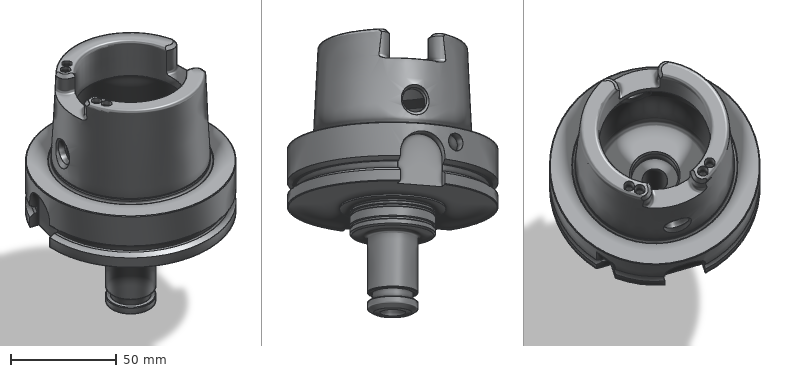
import cadquery as cq
import math


TOTAL_LENGTH = 130.5
TOP_Z = 50.0
TAPER_BASE_Z = 2.3
TAPER_BASE_R = 37.8
TAPER_SLOPE = 0.05
TOP_ROUND_R = 2.0
BASE_RELIEF_DEPTH = 0.3
BASE_RELIEF_Z = 1.6
BASE_RELIEF_END_Z = 0.8

FLANGE_R = 100.0 / 2
FLANGE_BOTTOM_Z = -29.0
FLANGE_CHAMFER = 0.4
FACE_RECESS_R = 39.0
FACE_RECESS_DEPTH = 0.4
FACE_RECESS_FILLET = 1.0
GRIP_GROOVE_Z = -20.0
GRIP_GROOVE_R = 46.0
GRIP_GROOVE_MOUTH = 6.8
GRIP_GROOVE_FLOOR = 3.5
GRIP_FLANK_DEPTH = 2.5

PAD_R = 25.3
PAD_BOTTOM_Z = -29.8
PILOT_R = 40.7 / 2
PILOT_BOTTOM_Z = -42.7
PILOT_CHAMFER = 0.8
PILOT_NECK_BOTTOM_Z = -30.9
PILOT_GROOVE_CENTERS = [-32.9, -38.9]
PILOT_GROOVE_WIDTH = 1.7
PILOT_GROOVE_DEPTH = 0.7
PILOT_GROOVE_FLANK = 0.4

STEM_R = 24.0 / 2
STEM_FILLET_R = 1.8
STEM_BOTTOM_Z = -71.0
STEM_CHAMFER = 0.4
STEM_NECK_R = 19.5 / 2
HEAD_TOP_Z = -75.3
HEAD_ROUND_TOP_Z = -78.3
HEAD_ROUND_R = 1.0
HEAD_CONE_ANGLE = 30
BOTTOM_Z = TOP_Z - TOTAL_LENGTH

BORE_R = 53.0 / 2
BORE_LIP_R = 2.0
CHAMBER_R = 63.0 / 2
CHAMBER_TOP_Z = 30.5
CHAMBER_BOTTOM_Z = 9.7
WELL_R = 27.9
WELL_FLOOR_Z = -13.5
WELL_FILLET_R = 3.0
CHAMBER_TOP_ANGLE = 30
SOCKET_R = 22.3 / 2
SOCKET_MOUTH_R = 24.0 / 2
SOCKET_FLOOR_Z = -20.9
CENTER_HOLE_R = 12.0 / 2

NOTCH_HALF_WIDTH = 10.0
NOTCH_CORNER_R = 5.0
LUG_FLAT_Y = 32.1
FRONT_NOTCH_DEPTH = 10.0
BACK_NOTCH_DEPTH = 15.0
NOTCH_FILLET = 2.0
NOTCH_CHAMFER = 1.7
NOTCH_INNER_Y = 13

SLOT_ROUND_Z = -15.0
FRONT_SLOT_WIDTH = 20.1
BACK_SLOT_WIDTH = 22.0
SLOT_FLOOR_Y = 44.0
CORNER_SLOT_WIDTH = 20.1
CORNER_SLOT_EDGE_X = -31.5
CORNER_SLOT_FLOOR_Y = 31.6

CROSS_HOLE_Z = 15.0
CROSS_HOLE_R = 12.0 / 2
CROSS_SINK_R = 15.0 / 2
CROSS_INNER_SINK_R = 6.9
CHIP_HOLE_R = 8.5 / 2
CHIP_HOLE_DEPTH = 4.6
CHIP_HOLE_Z = -7.3
CHIP_HOLE_ANGLE = 110
END_HOLE_R = 5.0 / 2
END_HOLE_DEPTH = 7.8
END_HOLE_CIRCLE_R = 30.9
END_HOLE_ANGLES = [30.5, 40.3]
DRILL_POINT_HALF_ANGLE = 59

CLEAR = 13


def quarter_mid(radius):
    """Distance from the sharp corner to the middle of its rounding, along each axis."""
    return radius * (1 - math.sqrt(0.5))


def taper_radius(z):
    return TAPER_BASE_R - TAPER_SLOPE * (z - TAPER_BASE_Z)


def pilot_groove(profile, center_z):
    """Add one trapezoidal groove to the pilot outline, going down."""
    half = PILOT_GROOVE_WIDTH / 2
    floor_r = PILOT_R - PILOT_GROOVE_DEPTH
    profile = profile.lineTo(PILOT_R, center_z + half)
    profile = profile.lineTo(floor_r, center_z + half - PILOT_GROOVE_FLANK)
    profile = profile.lineTo(floor_r, center_z - half + PILOT_GROOVE_FLANK)
    return profile.lineTo(PILOT_R, center_z - half)


def turned_body():
    """Solid of revolution carrying the whole outer shape."""
    round_z = TOP_Z - TOP_ROUND_R
    round_r = taper_radius(round_z)
    round_mid = quarter_mid(TOP_ROUND_R)
    recess_mid = quarter_mid(FACE_RECESS_FILLET)
    profile = (
        cq.Workplane("XZ")
        .moveTo(0, TOP_Z)
        .lineTo(round_r - TOP_ROUND_R, TOP_Z)
        .threePointArc((round_r - round_mid, TOP_Z - round_mid), (round_r, round_z))
        .lineTo(TAPER_BASE_R, TAPER_BASE_Z)
        .lineTo(TAPER_BASE_R - BASE_RELIEF_DEPTH, BASE_RELIEF_Z)
        .lineTo(TAPER_BASE_R, BASE_RELIEF_END_Z)
        .lineTo(TAPER_BASE_R, FACE_RECESS_FILLET - FACE_RECESS_DEPTH)
        .threePointArc(
            (TAPER_BASE_R + recess_mid, recess_mid - FACE_RECESS_DEPTH),
            (TAPER_BASE_R + FACE_RECESS_FILLET, -FACE_RECESS_DEPTH),
        )
        .lineTo(FACE_RECESS_R, -FACE_RECESS_DEPTH)
        .lineTo(FACE_RECESS_R + FACE_RECESS_DEPTH, 0)
        .lineTo(FLANGE_R - FLANGE_CHAMFER, 0)
        .lineTo(FLANGE_R, -FLANGE_CHAMFER)
    )

    flank_r = FLANGE_R - GRIP_FLANK_DEPTH
    mouth = GRIP_GROOVE_MOUTH / 2
    floor = GRIP_GROOVE_FLOOR / 2
    profile = (
        profile
        .lineTo(FLANGE_R, GRIP_GROOVE_Z + mouth)
        .lineTo(flank_r, GRIP_GROOVE_Z + floor)
        .lineTo(GRIP_GROOVE_R, GRIP_GROOVE_Z + floor)
        .lineTo(GRIP_GROOVE_R, GRIP_GROOVE_Z - floor)
        .lineTo(flank_r, GRIP_GROOVE_Z - floor)
        .lineTo(FLANGE_R, GRIP_GROOVE_Z - mouth)
        .lineTo(FLANGE_R, FLANGE_BOTTOM_Z + FLANGE_CHAMFER)
        .lineTo(FLANGE_R - FLANGE_CHAMFER, FLANGE_BOTTOM_Z)
        .lineTo(PAD_R, FLANGE_BOTTOM_Z)
        .lineTo(PAD_R, PAD_BOTTOM_Z)
    )

    neck_r = PILOT_R - PILOT_GROOVE_DEPTH
    profile = (
        profile
        .lineTo(neck_r, PAD_BOTTOM_Z)
        .lineTo(neck_r, PILOT_NECK_BOTTOM_Z + PILOT_GROOVE_FLANK)
        .lineTo(PILOT_R, PILOT_NECK_BOTTOM_Z)
    )
    for center_z in PILOT_GROOVE_CENTERS:
        profile = pilot_groove(profile, center_z)

    fillet_mid = quarter_mid(STEM_FILLET_R)
    turn = math.radians(90 - HEAD_CONE_ANGLE)
    head_arc_mid = (
        STEM_R - HEAD_ROUND_R * (1 - math.cos(turn / 2)),
        HEAD_ROUND_TOP_Z - HEAD_ROUND_R * math.sin(turn / 2),
    )
    cone_top_r = STEM_R - HEAD_ROUND_R * (1 - math.cos(turn))
    cone_top_z = HEAD_ROUND_TOP_Z - HEAD_ROUND_R * math.sin(turn)
    cone_bottom_r = cone_top_r - (cone_top_z - BOTTOM_Z) * math.tan(turn)
    profile = (
        profile
        .lineTo(PILOT_R, PILOT_BOTTOM_Z + PILOT_CHAMFER)
        .lineTo(PILOT_R - PILOT_CHAMFER, PILOT_BOTTOM_Z)
        .lineTo(STEM_R + STEM_FILLET_R, PILOT_BOTTOM_Z)
        .threePointArc(
            (STEM_R + fillet_mid, PILOT_BOTTOM_Z - fillet_mid),
            (STEM_R, PILOT_BOTTOM_Z - STEM_FILLET_R),
        )
        .lineTo(STEM_R, STEM_BOTTOM_Z + STEM_CHAMFER)
        .lineTo(STEM_R - STEM_CHAMFER, STEM_BOTTOM_Z)
        .lineTo(STEM_NECK_R, STEM_BOTTOM_Z)
        .lineTo(STEM_NECK_R, HEAD_TOP_Z)
        .lineTo(STEM_R - STEM_CHAMFER, HEAD_TOP_Z)
        .lineTo(STEM_R, HEAD_TOP_Z - STEM_CHAMFER)
        .lineTo(STEM_R, HEAD_ROUND_TOP_Z)
        .threePointArc(head_arc_mid, (cone_top_r, cone_top_z))
        .lineTo(cone_bottom_r, BOTTOM_Z)
        .lineTo(0, BOTTOM_Z)
        .close()
    )
    return profile.revolve(360, (0, 0, 0), (0, 1, 0))


def inner_cavity():
    """Bore, clamping chamber, stepped socket and the hole down the stem."""
    upper_shoulder = (CHAMBER_R - BORE_R) * math.tan(math.radians(CHAMBER_TOP_ANGLE))
    lip_mid = quarter_mid(BORE_LIP_R)
    fillet_mid = quarter_mid(WELL_FILLET_R)
    return (
        cq.Workplane("XZ")
        .moveTo(0, TOP_Z)
        .lineTo(BORE_R + BORE_LIP_R, TOP_Z)
        .threePointArc((BORE_R + lip_mid, TOP_Z - lip_mid), (BORE_R, TOP_Z - BORE_LIP_R))
        .lineTo(BORE_R, CHAMBER_TOP_Z)
        .lineTo(CHAMBER_R, CHAMBER_TOP_Z - upper_shoulder)
        .lineTo(CHAMBER_R, CHAMBER_BOTTOM_Z)
        .lineTo(WELL_R, WELL_FLOOR_Z + WELL_FILLET_R)
        .threePointArc(
            (WELL_R - fillet_mid, WELL_FLOOR_Z + fillet_mid),
            (WELL_R - WELL_FILLET_R, WELL_FLOOR_Z),
        )
        .lineTo(SOCKET_MOUTH_R, WELL_FLOOR_Z)
        .lineTo(SOCKET_R, WELL_FLOOR_Z - (SOCKET_MOUTH_R - SOCKET_R))
        .lineTo(SOCKET_R, SOCKET_FLOOR_Z)
        .lineTo(CENTER_HOLE_R, SOCKET_FLOOR_Z)
        .lineTo(CENTER_HOLE_R, BOTTOM_Z)
        .lineTo(0, BOTTOM_Z)
        .close()
        .revolve(360, (0, 0, 0), (0, 1, 0))
    )


def notch_outline(z, growth):
    """Plan shape of a notch on the +Y side, widened all round by growth."""
    half_width = NOTCH_HALF_WIDTH + growth
    corner_r = NOTCH_CORNER_R - growth
    flat_y = LUG_FLAT_Y - growth
    arc_x = half_width + corner_r
    arc_y = flat_y - corner_r
    mid = corner_r * math.sqrt(0.5)
    far = FLANGE_R + growth
    return (
        cq.Workplane("XY", origin=(0, 0, z))
        .moveTo(-half_width, NOTCH_INNER_Y - growth)
        .lineTo(-half_width, arc_y)
        .threePointArc((-arc_x + mid, arc_y + mid), (-arc_x, flat_y))
        .lineTo(-far, flat_y)
        .lineTo(-far, far)
        .lineTo(far, far)
        .lineTo(far, flat_y)
        .lineTo(arc_x, flat_y)
        .threePointArc((arc_x - mid, arc_y + mid), (half_width, arc_y))
        .lineTo(half_width, NOTCH_INNER_Y - growth)
        .close()
    )


def driving_notch(depth):
    """Notch on the +Y side with a filleted floor and a chamfered rim."""
    body = notch_outline(TOP_Z - depth, 0).extrude(depth + CLEAR)
    body = body.faces("<Z").edges().fillet(NOTCH_FILLET)
    rim = cq.Solid.makeLoft([
        notch_outline(TOP_Z - NOTCH_CHAMFER, 0).wire().val(),
        notch_outline(TOP_Z, NOTCH_CHAMFER).wire().val(),
    ], True)
    return body.union(cq.Workplane(rim))


def round_topped_slot(center_x, width, floor_y):
    """Slot on the -Y side of the flange, open below, with a half-round top."""
    half = width / 2
    low_z = FLANGE_BOTTOM_Z - CLEAR
    reach = FLANGE_R + CLEAR - floor_y
    return (
        cq.Workplane("XZ", origin=(center_x, -floor_y, 0))
        .moveTo(-half, low_z)
        .lineTo(-half, SLOT_ROUND_Z)
        .threePointArc((0, SLOT_ROUND_Z + half), (half, SLOT_ROUND_Z))
        .lineTo(half, low_z)
        .close()
        .extrude(reach)
    )


def cross_hole(side):
    """Radial hole through one taper wall, countersunk at 45 degrees outside and inside.

    side is -1 for the -Y wall and 1 for the +Y wall.
    """
    outside_r = taper_radius(CROSS_HOLE_Z)
    sink = CROSS_SINK_R - CROSS_HOLE_R
    inner_sink = CROSS_INNER_SINK_R - CROSS_HOLE_R
    axis = cq.Vector(0, side, 0)
    center = cq.Vector(0, 0, CROSS_HOLE_Z)
    hole = cq.Solid.makeCylinder(CROSS_HOLE_R, outside_r + sink, center, axis)
    outer_start = center + axis * (outside_r - sink)
    outer_cone = cq.Solid.makeCone(CROSS_HOLE_R, CROSS_SINK_R + sink, 2 * sink, outer_start, axis)
    inner_start = center + axis * (CHAMBER_R - inner_sink)
    inner_cone = cq.Solid.makeCone(
        CROSS_INNER_SINK_R + inner_sink, CROSS_HOLE_R, 2 * inner_sink, inner_start, axis
    )
    return cq.Workplane(hole).union(cq.Workplane(outer_cone)).union(cq.Workplane(inner_cone))


def chip_hole():
    """Blind radial hole in the flange rim."""
    angle = math.radians(CHIP_HOLE_ANGLE)
    direction = cq.Vector(math.cos(angle), math.sin(angle), 0)
    start = direction * (FLANGE_R - CHIP_HOLE_DEPTH) + cq.Vector(0, 0, CHIP_HOLE_Z)
    return cq.Solid.makeCylinder(CHIP_HOLE_R, CHIP_HOLE_DEPTH + CLEAR, start, direction)


def end_hole(angle):
    """Drilled hole in the taper end; angle is measured from -Y toward +X."""
    point = END_HOLE_R / math.tan(math.radians(DRILL_POINT_HALF_ANGLE))
    return (
        cq.Workplane("XZ")
        .moveTo(0, TOP_Z)
        .lineTo(END_HOLE_R, TOP_Z)
        .lineTo(END_HOLE_R, TOP_Z - END_HOLE_DEPTH)
        .lineTo(0, TOP_Z - END_HOLE_DEPTH - point)
        .close()
        .revolve(360, (0, 0, 0), (0, 1, 0))
        .translate((0, -END_HOLE_CIRCLE_R, 0))
        .rotate((0, 0, 0), (0, 0, 1), angle)
    )


def turned_around(cutter):
    return cutter.rotate((0, 0, 0), (0, 0, 1), 180)


result = turned_body().cut(inner_cavity())

result = result.cut(driving_notch(BACK_NOTCH_DEPTH))
result = result.cut(turned_around(driving_notch(FRONT_NOTCH_DEPTH)))

result = result.cut(round_topped_slot(0, FRONT_SLOT_WIDTH, SLOT_FLOOR_Y))
result = result.cut(turned_around(round_topped_slot(0, BACK_SLOT_WIDTH, SLOT_FLOOR_Y)))
corner_slot_x = CORNER_SLOT_EDGE_X - CORNER_SLOT_WIDTH / 2
result = result.cut(round_topped_slot(corner_slot_x, CORNER_SLOT_WIDTH, CORNER_SLOT_FLOOR_Y))

for side in (-1, 1):
    result = result.cut(cross_hole(side))

result = result.cut(cq.Workplane(chip_hole()))

for hole_angle in END_HOLE_ANGLES:
    for sign in (-1, 1):
        result = result.cut(end_hole(sign * hole_angle))